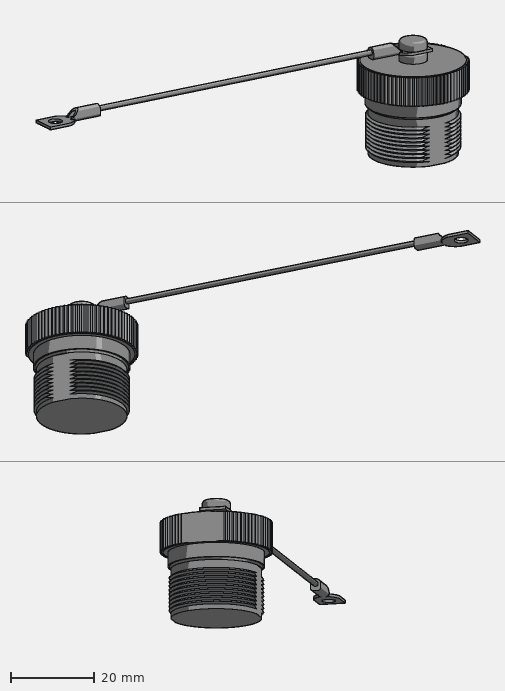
import cadquery as cq
import math

root_radius = 10.9
crest_radius = 11.5
thread_start = 1.2
thread_pitch = 1.0
thread_turns = 9
body_flat_offset = 10.7
body_top = 12.1
seal_radius = 11.3
collar_bottom = 12.7
collar_radius = 11.6

cap_bottom = 16.1
cap_top = 23.6
cap_core_radius = 12.8
tooth_tip_radius = 13.5
tooth_valley_radius = 13.2
tooth_end_setback = 0.1
tooth_count = 80
tooth_flat_y = 12.3

total_height = 28.9
knob_radius = 3.4
knob_top_round = 1.0
knob_base_round = 0.41
knob_base_top = 25.6
tab_bottom = 26.0
tab_top = 26.7

tab_half_width = 3.2
tab_hole_radius = 1.7
tab_end = 3.4
tab_shoulder = 2.0
tab_neck = 4.7
tab_bulge_half_width = 2.6
ferrule_radius = 1.3
ferrule_base_round = 0.7
ferrule_axis_z = total_height - ferrule_radius
ferrule_bevel_start = tab_end + 0.5
ferrule_end = 12.1
bore_radius = 0.7
bore_end = 8.3

part_length = 118.5
far_hole_y = cap_core_radius - part_length + tab_end
wire_radius = 0.65


def z_cylinder(radius, bottom, top):
    return cq.Workplane("XY").workplane(offset=bottom).circle(radius).extrude(top - bottom)


def y_cylinder(radius, start, end):
    """Cylinder along the ferrule axis, running toward -Y from -start to -end."""
    plane = cq.Workplane("XZ", origin=(0, -start, ferrule_axis_z))
    return plane.circle(radius).extrude(end - start)


def threaded_body():
    """Grooved thread rings between two plain ends, with a flat on each X side."""
    profile = cq.Workplane("XZ").lineTo(root_radius, 0).lineTo(root_radius, thread_start)
    for turn in range(thread_turns):
        ring_bottom = thread_start + turn * thread_pitch
        profile = profile.lineTo(crest_radius, ring_bottom + thread_pitch / 2)
        profile = profile.lineTo(root_radius, ring_bottom + thread_pitch)
    profile = profile.lineTo(root_radius, body_top).lineTo(0, body_top).close()
    body = profile.revolve(360, (0, 0, 0), (0, 1, 0))
    between_flats = cq.Workplane("XY").rect(2 * body_flat_offset, 4 * crest_radius).extrude(body_top)
    return body.intersect(between_flats)


def seal_and_collar():
    seal = (
        cq.Workplane("XY")
        .workplane(offset=body_top)
        .circle(root_radius)
        .workplane(offset=collar_bottom - body_top)
        .circle(seal_radius)
        .loft(ruled=True)
    )
    return seal.union(z_cylinder(collar_radius, collar_bottom, cap_bottom))


def knurled_cap():
    """Pointed teeth around a plain core; the teeth are cut flat on the +Y side."""
    points = []
    for step in range(2 * tooth_count):
        radius = tooth_tip_radius if step % 2 == 0 else tooth_valley_radius
        angle = math.pi * step / tooth_count
        points.append((radius * math.cos(angle), radius * math.sin(angle)))
    tooth_height = cap_top - cap_bottom - 2 * tooth_end_setback
    plane = cq.Workplane("XY").workplane(offset=cap_bottom + tooth_end_setback)
    teeth = plane.polyline(points).close().extrude(tooth_height)
    beyond_flat = (
        plane.center(0, tooth_flat_y + tooth_tip_radius)
        .rect(4 * tooth_tip_radius, 2 * tooth_tip_radius)
        .extrude(tooth_height)
    )
    return teeth.cut(beyond_flat).union(z_cylinder(cap_core_radius, cap_bottom, cap_top))


def knob():
    base = z_cylinder(knob_radius, cap_top, knob_base_top).faces(">Z").edges().fillet(knob_base_round)
    head = z_cylinder(knob_radius, tab_top, total_height).faces(">Z").edges().fillet(knob_top_round)
    neck = z_cylinder(tab_hole_radius, knob_base_top, tab_top)
    return base.union(neck).union(head)


def lanyard_end():
    """Flat tab with its hole at the origin and a bevelled ferrule toward -Y."""
    bulge_y = -(tab_shoulder + tab_neck) / 2
    tab = (
        cq.Workplane("XY")
        .workplane(offset=tab_bottom)
        .moveTo(-tab_half_width, tab_end)
        .lineTo(-tab_half_width, -tab_shoulder)
        .threePointArc((-tab_bulge_half_width, bulge_y), (-ferrule_radius, -tab_neck))
        .lineTo(ferrule_radius, -tab_neck)
        .threePointArc((tab_bulge_half_width, bulge_y), (tab_half_width, -tab_shoulder))
        .lineTo(tab_half_width, tab_end)
        .close()
        .extrude(tab_top - tab_bottom)
        .cut(z_cylinder(tab_hole_radius, tab_bottom, tab_top))
    )
    bevel_length = total_height - tab_top
    bevel = (
        cq.Workplane("YZ")
        .moveTo(-ferrule_bevel_start, tab_bottom)
        .lineTo(-ferrule_bevel_start, tab_top)
        .lineTo(-ferrule_bevel_start - bevel_length, total_height)
        .lineTo(0, total_height)
        .lineTo(0, tab_bottom)
        .close()
        .extrude(ferrule_radius, both=True)
    )
    bore_floor = (
        cq.Workplane("XZ", origin=(0, -tab_end, (tab_top + ferrule_axis_z) / 2))
        .rect(2 * bore_radius, ferrule_axis_z - tab_top)
        .extrude(bore_end - tab_end)
    )
    ferrule_base = (
        cq.Workplane("XZ", origin=(0, -tab_end, (tab_bottom + ferrule_axis_z) / 2))
        .rect(2 * ferrule_radius, ferrule_axis_z - tab_bottom)
        .extrude(ferrule_end - tab_end)
        .edges("|Y and <Z")
        .fillet(ferrule_base_round)
    )
    ferrule = (
        y_cylinder(ferrule_radius, tab_end, ferrule_end)
        .union(ferrule_base)
        .cut(bevel)
        .cut(y_cylinder(bore_radius, tab_end, bore_end))
        .cut(bore_floor)
    )
    return tab.union(ferrule)


plug = threaded_body().union(seal_and_collar()).union(knurled_cap()).union(knob())
near_end = lanyard_end()
far_end = lanyard_end().rotate((0, 0, 0), (0, 0, 1), 180).translate((0, far_hole_y, 0))
wire = y_cylinder(wire_radius, bore_end, -far_hole_y - bore_end)

result = plug.union(near_end).union(wire).union(far_end)